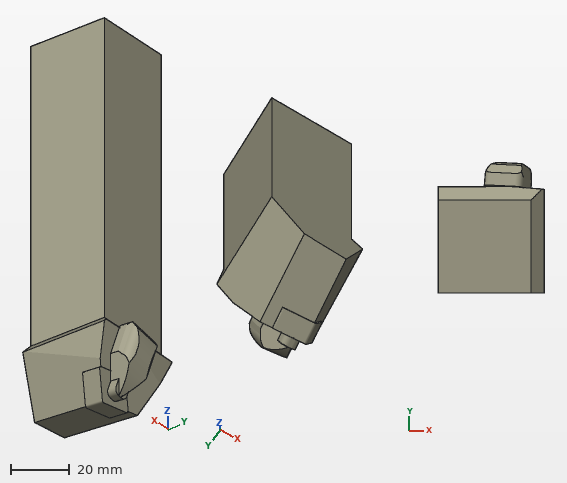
import cadquery as cq
import math

overall_length = 152.4
shank_size = 31.75
head_size = 36.26
shoulder_height = 29.5
flare = head_size - shank_size

back_cut_angle = 30.0
back_cut_height = 29.0

seat_fall_down = 7.45
seat_fall_side = 4.7
nose_x = 32.15
nose_depth = 31.93

side_edge_angle = 15.0
end_edge_angle = 5.0
inscribed_circle = 12.7
insert_thickness = 7.94
nose_radius = 0.8
insert_overhang = 0.7

clamp_angle = 14.0
clamp_back_x = 21.8
clamp_back_z = 30.25
clamp_length = 28.5
clamp_width = 13.5
clamp_corner_radius = 2.2
clamp_full_width_length = 13.6
clamp_nose_width = 1.0
flank_height = 3.6
lean_height = 5.6
lean_inset = 0.6
crown_width = 7.4
crown_height = 9.31
crown_side_point = (5.3, 7.8)
back_height = 4.4
back_bevel_length = 3.4
back_bevel_height = 7.7
crown_peak = 10.5
crown_front = (18.5, 8.6)
nose_curve_point = (24.0, 6.8)
toe_length = 6.5
toe_width = 5.8
toe_height = 3.8
toe_corner_radius = 2.2

slope_down = math.tan(math.radians(seat_fall_down))
slope_side = math.tan(math.radians(seat_fall_side))
seat_normal = cq.Vector(slope_side, 1, -slope_down).normalized()
nose_z = nose_radius * math.sqrt(1 - seat_normal.z ** 2)


def seat_point(x, z):
    """Point of the seat plane above the given X and Z."""
    y = nose_depth + slope_down * (z - nose_z) - slope_side * (x - nose_x)
    return cq.Vector(x, y, z)


def in_seat(x, z):
    """Direction in the seat plane that runs along the given X and Z."""
    return cq.Vector(x, slope_down * z - slope_side * x, z).normalized()


insert_plane = cq.Plane(seat_point(nose_x, nose_z), in_seat(1, 0), seat_normal * -1)

swing = math.radians(clamp_angle)
clamp_plane = cq.Plane(
    seat_point(clamp_back_x, clamp_back_z),
    in_seat(math.sin(swing), -math.cos(swing)),
    seat_normal,
)

side_angle = math.radians(90 - side_edge_angle)
end_angle = math.radians(180 - end_edge_angle)
corner_angle = end_angle - side_angle


def along_edges(start, side, end):
    """Move from a local point along the side edge and along the end edge."""
    return (
        start[0] + side * math.cos(side_angle) + end * math.cos(end_angle),
        start[1] + side * math.sin(side_angle) + end * math.sin(end_angle),
    )


def corner_beyond_nose(distance):
    """Corner of two lines parallel to the edges, this far outside the nose centre."""
    reach = -distance / math.sin(corner_angle)
    return along_edges((0, 0), reach, reach)


def make_insert():
    edge_length = inscribed_circle / math.sin(corner_angle)
    tip = corner_beyond_nose(nose_radius)
    return (
        cq.Workplane(insert_plane)
        .polyline([
            tip,
            along_edges(tip, edge_length, 0),
            along_edges(tip, edge_length, edge_length),
            along_edges(tip, 0, edge_length),
        ])
        .close()
        .extrude(insert_thickness)
        .edges(cq.selectors.ParallelDirSelector(seat_normal))
        .fillet(nose_radius)
    )


def make_blank():
    """Square shank that flares at 45 degrees toward +X and +Y into the head."""
    head = cq.Workplane("XY").rect(head_size, head_size, centered=False).extrude(shoulder_height)
    shank = cq.Workplane("XY").rect(shank_size, shank_size, centered=False).extrude(overall_length)
    cone = (
        cq.Workplane("XY", origin=(0, 0, shoulder_height))
        .rect(head_size, head_size, centered=False)
        .workplane(offset=flare)
        .rect(shank_size, shank_size, centered=False)
        .loft(ruled=True)
    )
    return head.union(cone).union(shank)


def make_back_cut():
    """Wedge below the slanted -X side of the head."""
    reach = back_cut_height * math.tan(math.radians(back_cut_angle))
    return (
        cq.Workplane("XZ")
        .polyline([(0, back_cut_height), (reach, 0), (0, 0)])
        .close()
        .extrude(-head_size)
    )


def make_head_trim():
    """Material kept around the tip: walls square to the seat, set in from the insert edges."""
    tip = corner_beyond_nose(nose_radius - insert_overhang)
    reach = overall_length
    return (
        cq.Workplane(insert_plane)
        .polyline([
            tip,
            along_edges(tip, reach, 0),
            along_edges(tip, reach, reach),
            along_edges(tip, 0, reach),
        ])
        .close()
        .extrude(reach)
    )


def make_holder(insert):
    blank = make_blank().cut(make_back_cut())
    head_level = shoulder_height + flare
    head_zone = cq.Workplane("XY").rect(head_size, head_size, centered=False).extrude(head_level)
    head = blank.intersect(head_zone).intersect(make_head_trim())
    shank = blank.cut(head_zone)
    return shank.union(head).union(make_clamp()).cut(insert)


def make_footprint():
    half_width = clamp_width / 2
    half_nose = clamp_nose_width / 2
    return (
        cq.Workplane(clamp_plane)
        .polyline([
            (0, -half_width),
            (clamp_full_width_length, -half_width),
            (clamp_length, -half_nose),
            (clamp_length, half_nose),
            (clamp_full_width_length, half_width),
            (0, half_width),
        ])
        .close()
        .extrude(crown_height)
        .faces(cq.selectors.DirectionMinMaxSelector(clamp_plane.xDir, False))
        .edges(cq.selectors.ParallelDirSelector(seat_normal))
        .fillet(clamp_corner_radius)
    )


def make_side_profile():
    """Bevelled back, gently arched crown and a nose that curves down to the toe."""
    side_plane = cq.Plane(clamp_plane.origin, clamp_plane.xDir, clamp_plane.yDir * -1)
    return (
        cq.Workplane(side_plane)
        .lineTo(0, back_height)
        .lineTo(back_bevel_length, back_bevel_height)
        .threePointArc((crown_peak, crown_height), crown_front)
        .threePointArc(nose_curve_point, (clamp_length, toe_height))
        .lineTo(clamp_length, 0)
        .close()
        .extrude(clamp_width / 2, both=True)
    )


def make_cross_section():
    end_plane = cq.Plane(clamp_plane.origin, clamp_plane.yDir, clamp_plane.xDir)
    half_width = clamp_width / 2
    half_lean = half_width - lean_inset
    half_crown = crown_width / 2
    side_x, side_height = crown_side_point
    return (
        cq.Workplane(end_plane)
        .moveTo(-half_width, 0)
        .lineTo(half_width, 0)
        .lineTo(half_width, flank_height)
        .lineTo(half_lean, lean_height)
        .threePointArc((side_x, side_height), (half_crown, crown_height))
        .lineTo(-half_crown, crown_height)
        .threePointArc((-side_x, side_height), (-half_lean, lean_height))
        .lineTo(-half_width, flank_height)
        .close()
        .extrude(clamp_length)
    )


def make_toe():
    return (
        cq.Workplane(clamp_plane)
        .center(clamp_length - toe_length / 2, 0)
        .rect(toe_length, toe_width)
        .extrude(toe_height)
        .faces(cq.selectors.DirectionMinMaxSelector(clamp_plane.xDir))
        .edges(cq.selectors.ParallelDirSelector(seat_normal))
        .fillet(toe_corner_radius)
    )


def make_clamp():
    finger = make_footprint().intersect(make_side_profile()).intersect(make_cross_section())
    return finger.union(make_toe())


insert = make_insert()
holder = make_holder(insert)
result = cq.Compound.makeCompound([holder.val(), insert.val()])